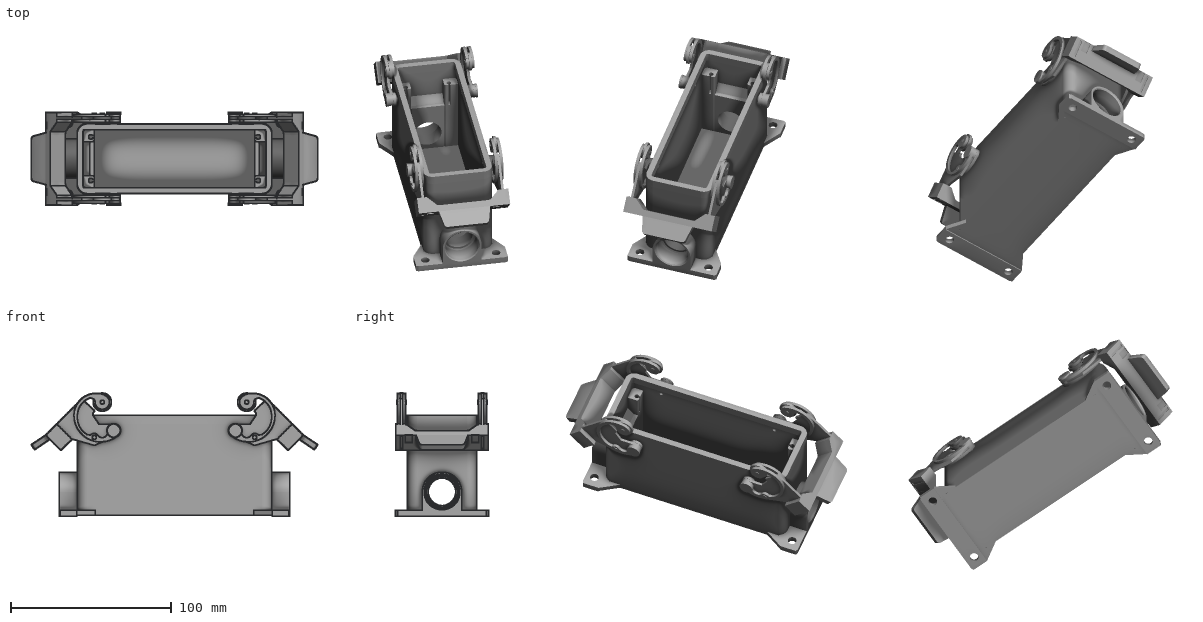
import cadquery as cq
import math

body_length = 121.4
body_width = 43.5
body_top = 63.2
body_bottom = 0.7
body_corner = 6.0
wall = 3.7
thin_side_wall = 2.7
floor_thickness = 3.2
mouth_corner = 1.5
cavity_corner = 2.1
rim_height = 5.5
rim_draft = 1.0

overlap = 0.9

post_length = 7.0
post_width = 7.5
post_top = 51.0
post_corner = 1.2
screw_radius = 1.5
screw_from_face = 2.1
screw_from_side = 4.5
screw_slot = 1.2
ledge_top = 35.7
ledge_wall_height = 40.2
ledge_flat = 2.7

entry_end = 72.0
entry_radius = 12.3
entry_height = 15.4
bore_radius = 10.5
bore_mouth = 0.62
through_radius = 8.5
bore_depth = 11.8
bore_end_chamfer = 0.7
foot_width = 58.0
foot_top = 4.0
foot_corner = (0.7, 1.5)
foot_pad_length = 11.0
wedge_length = 11.6
foot_hole_radius = 2.7
foot_hole_inset = (5.7, 6.6)

peg = (-37.8, 53.5)
peg_disc_radius = 4.1
plate_end_radius = 4.0
peg_head_radius = 4.3
peg_shaft_radius = 2.3
peg_hole_radius = 1.0
peg_hole_depth = 1.5
roller = (-45.0, 71.2)
roller_radius = 5.7
hook_end_radius = 4.5
rivet = (-50.0, 49.3)
rivet_radius = 1.2
rivet_head = 0.4

hook_left = -62.6
hook_middle = 63.0
hook_upper_radius = 13.7
hook_lower_radius = 16.6

band_thickness = 1.8
band_inner = 22.7
plate_inner = band_inner + band_thickness
plate_outer = 26.0
band_outer = plate_outer + band_thickness
lever_width = 57.8

bar_corner = (-80.3, 50.7)
bar_end_height = 9.8
bar_middle_height = 4.1
bar_depth = 13.5
bar_end_width = 6.2
bar_middle_half = 16.8
bar_bevel_half = 14.8
bar_bevel_height = 4.0
bar_recess_depth = 0.5
plate_root = 3.5
arm_rise = 22.7
arm_recess = (1.2, 12.1)
side_recess = (0.4, 6.8)
side_recess_span = (18.5, 22.8)
grip_angle = 34
grip_tip = -89.2
grip_thickness = 3.7
grip_base_half = 16.2
grip_tip_half = 13.7
grip_tip_corner = 2.1


def mirror_ends(part):
    """Add the copy mirrored to the +X end."""
    return part.union(part.mirror("YZ"))


def mirror_sides(part):
    """Add the copy mirrored to the +Y side."""
    return part.union(part.mirror("XZ"))


def side_sketch(inner):
    """XZ work plane on the -Y side; extruding goes outwards."""
    return cq.Workplane("XZ", origin=(0, -inner, 0))


def disc(centre, radius, inner, outer):
    return side_sketch(inner).center(*centre).circle(radius).extrude(outer - inner)


def end_cylinder(radius, start, stop):
    """Cylinder along X on the axis of the cable entries."""
    sketch = cq.Workplane("YZ", origin=(start, 0, entry_height))
    return sketch.circle(radius).extrude(stop - start)


def box(x_range, y_range, z_range):
    size = [high - low for low, high in (x_range, y_range, z_range)]
    low_corner = (x_range[0], y_range[0], z_range[0])
    return cq.Workplane("XY").box(*size, centered=False).translate(low_corner)


def on_circle(centre, radius, angle):
    return (centre[0] + radius * math.cos(angle), centre[1] + radius * math.sin(angle))


def direction(start, end):
    """Angle from one point to another, from 0 to a full turn."""
    return math.atan2(end[1] - start[1], end[0] - start[0]) % (2 * math.pi)


half_length = body_length / 2
half_width = body_width / 2
cavity_half_length = half_length - wall
mouth_half_width = half_width - wall
cavity_half_width = half_width - thin_side_wall
cavity_floor = body_bottom + floor_thickness


def rounded_block(length, width, corner, bottom, height, draft=0):
    """Upright block with rounded corners, drawn in by a draft angle towards its top."""
    sketch = cq.Sketch().rect(length, width).vertices().fillet(corner)
    base = cq.Workplane("XY", origin=(0, 0, bottom))
    return base.placeSketch(sketch).extrude(height, taper=draft)


def make_shell():
    """Open-topped housing; the drafted rim overhangs the thin side walls."""
    outer_size = (body_length, body_width, body_corner)
    mouth_size = (2 * cavity_half_length, 2 * mouth_half_width, mouth_corner)
    cavity_size = (2 * cavity_half_length, 2 * cavity_half_width, cavity_corner)
    rim_bottom = body_top - rim_height
    outer = rounded_block(*outer_size, body_bottom, rim_bottom - body_bottom)
    outer = outer.union(rounded_block(*outer_size, rim_bottom, rim_height, rim_draft))
    cavity = rounded_block(*cavity_size, cavity_floor, rim_bottom - cavity_floor)
    cavity = cavity.union(rounded_block(*mouth_size, rim_bottom, rim_height, -rim_draft))
    return outer.cut(cavity)


def make_post():
    """Screw post in the -X, -Y corner, with a slot from its hole to its face."""
    face = -cavity_half_length + post_length
    post = box(
        (-cavity_half_length - overlap, face),
        (-cavity_half_width - overlap, -mouth_half_width + post_width),
        (cavity_floor, post_top),
    )
    post = post.edges("|Z and >X and >Y").fillet(post_corner)
    screw_x = face - screw_from_face
    screw_y = -mouth_half_width + screw_from_side
    hole = (
        cq.Workplane("XY", origin=(screw_x, screw_y, ledge_top))
        .circle(screw_radius)
        .extrude(post_top - ledge_top)
    )
    slot = box(
        (screw_x, face),
        (screw_y - screw_slot / 2, screw_y + screw_slot / 2),
        (ledge_top, post_top),
    )
    return post.cut(hole).cut(slot)


def make_ledge():
    """Ledge between the two posts of an end, rising as a ramp to the end wall."""
    face = -cavity_half_length + post_length
    half_span = mouth_half_width - post_width
    return (
        side_sketch(-half_span)
        .moveTo(-cavity_half_length, cavity_floor)
        .lineTo(face, cavity_floor)
        .lineTo(face, ledge_top)
        .lineTo(face - ledge_flat, ledge_top)
        .lineTo(-cavity_half_length, ledge_wall_height)
        .close()
        .extrude(2 * half_span)
    )


def make_foot():
    """Mounting plate of the -X end, tapering back to the side walls."""
    half_foot = foot_width / 2
    pad_end = -entry_end + foot_pad_length
    wedge_end = pad_end + wedge_length
    plate = (
        cq.Workplane("XY")
        .moveTo(-entry_end, 0)
        .lineTo(-entry_end, -half_foot + foot_corner[1])
        .lineTo(-entry_end + foot_corner[0], -half_foot)
        .lineTo(pad_end, -half_foot)
        .lineTo(wedge_end, -half_width)
        .lineTo(wedge_end, 0)
        .close()
        .extrude(foot_top)
    )
    plate = mirror_sides(plate)
    relief = box((pad_end, 0), (-half_foot, half_foot), (0, body_bottom))
    plate = plate.cut(relief)
    inner_space = box((-cavity_half_length, 0), (-half_width, half_width), (0, foot_top))
    plate = plate.cut(inner_space)
    holes = (
        cq.Workplane("XY")
        .pushPoints([
            (-entry_end + foot_hole_inset[0], side * (half_foot - foot_hole_inset[1]))
            for side in (-1, 1)
        ])
        .circle(foot_hole_radius)
        .extrude(foot_top)
    )
    return plate.cut(holes)


def make_entry():
    """Round-topped cable entry standing on the foot of the -X end."""
    tube = end_cylinder(entry_radius, -entry_end, -half_length + overlap)
    base = box((-entry_end, -half_length + overlap), (-entry_radius, entry_radius), (0, entry_height))
    base_relief = box(
        (-entry_end + foot_pad_length, 0), (-entry_radius, entry_radius), (0, body_bottom)
    )
    return tube.union(base).cut(base_relief)


def make_bore():
    """Stepped bore of the -X cable entry, with a flared mouth and a chamfered bottom edge."""
    bore_end = -entry_end + bore_depth
    bore = end_cylinder(bore_radius, -entry_end, bore_end).faces(">X").chamfer(bore_end_chamfer)
    mouth = cq.Workplane(cq.Solid.makeCone(
        bore_radius + bore_mouth, bore_radius, bore_mouth,
        cq.Vector(-entry_end, 0, entry_height), cq.Vector(1, 0, 0),
    ))
    passage = end_cylinder(through_radius, bore_end, -cavity_half_length + post_length)
    return bore.union(mouth).union(passage)


def make_peg_hole():
    return disc(peg, peg_hole_radius, cavity_half_width, cavity_half_width + peg_hole_depth)


upper_centre = (hook_left + hook_upper_radius, hook_middle)
lower_centre = (hook_left + hook_lower_radius, hook_middle)


def make_band(inner):
    """C-shaped spring band from the hook end around to the peg."""
    hook_angle = direction(upper_centre, roller)
    peg_angle = direction(lower_centre, peg)
    upper_middle = (hook_angle + math.pi) / 2
    lower_middle = (peg_angle + math.pi) / 2
    crescent = (
        side_sketch(inner)
        .moveTo(*on_circle(upper_centre, hook_upper_radius, hook_angle))
        .threePointArc(
            on_circle(upper_centre, hook_upper_radius, upper_middle),
            (hook_left, hook_middle),
        )
        .threePointArc(
            on_circle(lower_centre, hook_lower_radius, lower_middle),
            on_circle(lower_centre, hook_lower_radius, peg_angle),
        )
        .lineTo(*peg)
        .lineTo(-41.8, 51.5)
        .threePointArc((-44.6, 49.0), (-47.8, 50.7))
        .threePointArc((-50.0, 51.8), (-52.3, 50.7))
        .lineTo(-54.3, 50.9)
        .threePointArc((-59.5, 56.5), (-60.5, 62.5))
        .threePointArc((-58.4, 69.5), (-52.7, 73.7))
        .threePointArc((-50.3, 72.8), (-49.3, 71.0))
        .lineTo(*roller)
        .close()
        .extrude(band_thickness)
    )
    hook_end = disc(roller, hook_end_radius, inner, inner + band_thickness)
    peg_end = disc(peg, peg_disc_radius, inner, inner + band_thickness)
    return crescent.union(hook_end).union(peg_end)


def make_plate():
    """Thin arm between the two bands, running from the handle bar to the peg."""
    depth_step = bar_depth / math.sqrt(2)
    bar_foot = (bar_corner[0] + depth_step, bar_corner[1] - depth_step)
    edge_height = peg[1] + plate_end_radius
    outline = [
        (bar_corner[0] + plate_root, bar_corner[1] + plate_root),
        (bar_corner[0] + arm_rise, bar_corner[1] + arm_rise),
        (-49.6, 65.7),
        (-50.7, 64.5),
        (-50.7, 63.0),
        (-47.1, edge_height),
        (peg[0], edge_height),
        (peg[0], peg[1] - plate_end_radius),
        (-45.3, 46.2),
        (-50.0, 44.3),
        (-60.5, 47.3),
        (-63.7, 48.0),
        (bar_foot[0] + plate_root, bar_foot[1] + plate_root),
    ]
    thickness = plate_outer - plate_inner
    arm = side_sketch(plate_inner).polyline(outline).close().extrude(thickness)
    return arm.union(disc(peg, plate_end_radius, plate_inner, plate_outer))


def make_lever_side():
    side = make_plate()
    side = side.union(make_band(band_inner))
    side = side.union(make_band(plate_outer))
    side = side.union(disc(roller, roller_radius, plate_inner, plate_outer))
    for centre in (roller, rivet):
        side = side.union(disc(centre, rivet_radius, band_inner - rivet_head, band_outer + rivet_head))
    side = side.union(disc(peg, peg_shaft_radius, half_width - overlap, band_outer))
    return side.union(disc(peg, peg_head_radius, band_outer, lever_width / 2))


def bar_recess(plane, depth_range, span):
    """Shallow rectangular recess in the lower outer face of the handle bar."""
    start, end = depth_range
    sketch = cq.Workplane(plane).workplane(offset=start)
    sketch = sketch.moveTo(0, span[0]).lineTo(0, span[1])
    sketch = sketch.lineTo(bar_recess_depth, span[1]).lineTo(bar_recess_depth, span[0])
    return sketch.close().extrude(end - start)


def make_bar():
    """Handle bar with tall ends and a low middle."""
    plane = cq.Plane(origin=(bar_corner[0], 0, bar_corner[1]), xDir=(1, 0, 1), normal=(1, 0, -1))
    half_bar = lever_width / 2
    half = (
        cq.Workplane(plane)
        .moveTo(0, 0)
        .lineTo(0, half_bar)
        .lineTo(bar_end_height, half_bar)
        .lineTo(bar_end_height, half_bar - bar_end_width)
        .lineTo(bar_middle_height, bar_middle_half)
        .lineTo(bar_bevel_height, bar_bevel_half)
        .lineTo(bar_bevel_height, 0)
        .close()
        .extrude(bar_depth)
    )
    half = half.cut(bar_recess(plane, arm_recess, (plate_inner, plate_outer)))
    half = half.cut(bar_recess(plane, side_recess, side_recess_span))
    return mirror_sides(half)


def make_grip():
    """Flat thumb grip, narrowing towards its tip."""
    slope = math.radians(grip_angle)
    plane = cq.Plane(
        origin=(bar_corner[0], 0, bar_corner[1]),
        xDir=(-math.cos(slope), 0, -math.sin(slope)),
        normal=(math.sin(slope), 0, -math.cos(slope)),
    )
    length = (bar_corner[0] - grip_tip) / math.cos(slope)
    half = (
        cq.Workplane(plane)
        .moveTo(-overlap, 0)
        .lineTo(-overlap, grip_base_half)
        .lineTo(0, grip_base_half)
        .lineTo(length, grip_tip_half)
        .lineTo(length, 0)
        .close()
        .extrude(grip_thickness)
    )
    corner = cq.selectors.NearestToPointSelector(
        plane.toWorldCoords((length, grip_tip_half, grip_thickness / 2)).toTuple()
    )
    return mirror_sides(half.edges(corner).fillet(grip_tip_corner))


end_parts = mirror_sides(make_post())
end_parts = end_parts.union(make_ledge())
end_parts = end_parts.union(make_foot())
end_parts = end_parts.union(make_entry())
end_parts = end_parts.union(mirror_sides(make_lever_side()))
end_parts = end_parts.union(make_bar())
end_parts = end_parts.union(make_grip())

end_cuts = make_bore().union(mirror_sides(make_peg_hole()))

result = make_shell().union(mirror_ends(end_parts)).cut(mirror_ends(end_cuts))